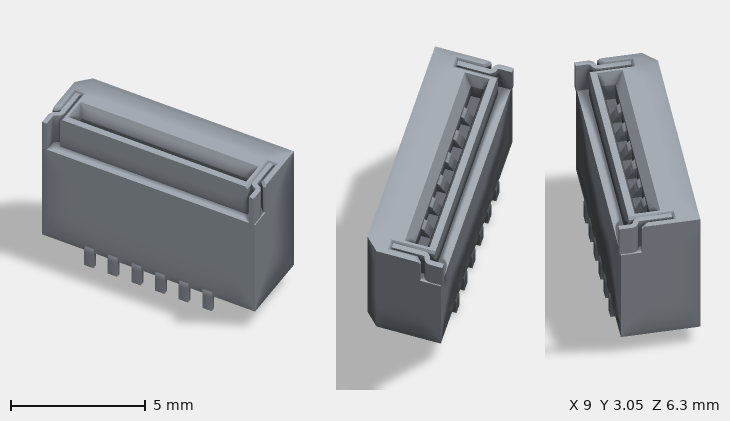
import cadquery as cq
import math


housing_length = 9.0
housing_depth = 3.0
housing_height = 5.6
key_chamfer = 0.5
half_length = housing_length / 2
overlap = 0.18

ledge_drop = 1.33
ledge_depth = 0.4
ledge_z = housing_height - ledge_drop

mouth_half_length = 3.76
mouth_back_y = 1.62
mouth_front_y = 0.66
end_taper = 0.22
back_taper = 0.31
funnel_depth = 0.5
front_slope_depth = 0.97
front_slope_run = 0.24
pocket_depth = 1.24
throat_half_length = mouth_half_length - end_taper
throat_back_y = mouth_back_y - back_taper
throat_front_y = mouth_front_y + front_slope_run
pocket_floor_z = housing_height - pocket_depth
funnel_z = housing_height - funnel_depth

position_count = 6
pitch = 1.0
lead_width = 0.4
lead_thickness = 0.2
lead_length = 0.7
lead_proud = 0.05
lead_bend_height = 0.2
contact_width = 0.42
contact_drop = 0.675
contact_shoulder = 0.08
contact_shoulder_drop = 0.05
contact_round = 0.07
contact_reach = 0.38

sheet = 0.2
lug_inset = 0.03
leg_inset = 0.32
clip_back_y = 2.0
clip_front_y = -lead_proud
lug_bend_end_y = 0.41
bend_inner_radius = 0.1
bend_outer_radius = bend_inner_radius + sheet
clip_height = 1.305
anchor_length = 0.45

slot_clearance = 0.02
slot_chamfer = 0.1
slot_side_opening_y = 0.8
slot_corner_inset = 0.1


def block(x_range, y_range, z_range):
    """Box between the given limits."""
    size = [high - low for low, high in (x_range, y_range, z_range)]
    corner = (x_range[0], y_range[0], z_range[0])
    return cq.Workplane("XY").box(*size, centered=False).translate(corner)


def make_housing():
    body = block((-half_length, half_length), (0, housing_depth), (0, housing_height))
    body = body.edges("|Z and <X and >Y").chamfer(key_chamfer)
    ledge = block(
        (-half_length - overlap, half_length + overlap),
        (-overlap, ledge_depth),
        (ledge_z, housing_height + overlap),
    )
    return body.cut(ledge)


def make_pocket():
    """Straight throat below a mouth tapered at the back and ends and sloped at the front."""
    throat = block(
        (-throat_half_length, throat_half_length),
        (throat_front_y, throat_back_y),
        (pocket_floor_z, housing_height),
    )

    def rectangle(half_width, front_y, back_y, z):
        left, right = -half_width, half_width
        corners = [(left, front_y), (right, front_y), (right, back_y), (left, back_y)]
        return cq.Wire.makePolygon([cq.Vector(x, y, z) for x, y in corners], close=True)

    front_at_funnel = mouth_front_y + front_slope_run * funnel_depth / front_slope_depth
    slope_z = housing_height - front_slope_depth
    mouth_edge = rectangle(mouth_half_length, mouth_front_y, mouth_back_y, housing_height)
    funnel_edge = rectangle(throat_half_length, front_at_funnel, throat_back_y, funnel_z)
    slope_edge = rectangle(throat_half_length, throat_front_y, throat_back_y, slope_z)
    funnel = cq.Workplane(cq.Solid.makeLoft([mouth_edge, funnel_edge], True))
    slope = cq.Workplane(cq.Solid.makeLoft([funnel_edge, slope_edge], True))
    return throat.union(slope).union(funnel)


def make_contact(x):
    """Rounded contact leaning from the pocket back wall down to its floor."""
    top_z = housing_height - contact_drop
    shoulder_y = throat_back_y - contact_shoulder
    shoulder_z = top_z - contact_shoulder_drop
    return (
        cq.Workplane("YZ", origin=(x - contact_width / 2, 0, 0))
        .moveTo(throat_back_y, pocket_floor_z)
        .lineTo(throat_back_y, top_z)
        .lineTo(shoulder_y, shoulder_z)
        .tangentArcPoint((-contact_round, -2 * contact_round))
        .lineTo(throat_back_y - contact_reach, pocket_floor_z)
        .close()
        .extrude(contact_width)
    )


def make_lead(x):
    """Flat lead below the housing whose bend curves back into the front face."""
    half_bend = lead_bend_height / 2
    bend_radius = (lead_bend_height**2 + lead_proud**2) / (2 * lead_proud)
    mid_sag = bend_radius - math.sqrt(bend_radius**2 - half_bend**2)
    return (
        cq.Workplane("YZ", origin=(x - lead_width / 2, 0, 0))
        .moveTo(-lead_proud, -lead_length)
        .lineTo(-lead_proud, 0)
        .threePointArc((mid_sag - lead_proud, half_bend), (0, lead_bend_height))
        .lineTo(lead_thickness - lead_proud, lead_bend_height)
        .lineTo(lead_thickness - lead_proud, -lead_length)
        .close()
        .extrude(lead_width)
    )


def make_clip_slot():
    """Slot for the left clip, open to the end face and the ledge, chamfered at the top."""
    outer_x = leg_inset - slot_clearance - half_length
    inner_x = leg_inset + sheet + slot_clearance - half_length
    corner_x = slot_corner_inset - half_length
    outside_x = -half_length - overlap
    outline = [
        (outer_x, clip_back_y + slot_clearance),
        (inner_x, clip_back_y + slot_clearance),
        (inner_x, -overlap),
        (outside_x, -overlap),
        (outside_x, slot_side_opening_y),
        (corner_x, slot_side_opening_y),
        (outer_x, slot_side_opening_y + outer_x - corner_x),
    ]
    walls = cq.Workplane("XY", origin=(0, 0, ledge_z)).polyline(outline).close().extrude(ledge_drop)
    flare_base = cq.Workplane("XY", origin=(0, 0, housing_height - slot_chamfer)).polyline(outline).close()
    flare_top = cq.Workplane("XY", origin=(0, 0, housing_height)).polyline(outline).close()
    flare_top = flare_top.offset2D(slot_chamfer, "intersection")
    flare = cq.Solid.makeLoft([flare_base.val(), flare_top.val()], True)
    return walls.union(cq.Workplane(flare))


def make_clip():
    """Left clip: a leg in the slot, stepped outward by an S-bend to a front lug."""
    lug_x = lug_inset - half_length
    leg_x = leg_inset - half_length
    bend_angle = math.acos(1 - (leg_x - lug_x) / (bend_inner_radius + bend_outer_radius))
    leg_bend_end_y = lug_bend_end_y + (bend_inner_radius + bend_outer_radius) * math.sin(bend_angle)
    lug_center = (lug_x + bend_outer_radius, lug_bend_end_y)
    leg_center = (leg_x - bend_inner_radius, leg_bend_end_y)

    def on_lug_bend(radius, angle):
        return (lug_center[0] - radius * math.cos(angle), lug_center[1] + radius * math.sin(angle))

    def on_leg_bend(radius, angle):
        return (leg_center[0] + radius * math.cos(angle), leg_center[1] - radius * math.sin(angle))

    half_angle = bend_angle / 2
    profile = (
        cq.Workplane("XY", origin=(0, 0, housing_height - clip_height))
        .moveTo(lug_x, clip_front_y)
        .lineTo(lug_x, lug_bend_end_y)
        .threePointArc(on_lug_bend(bend_outer_radius, half_angle), on_lug_bend(bend_outer_radius, bend_angle))
        .threePointArc(on_leg_bend(bend_inner_radius, half_angle), on_leg_bend(bend_inner_radius, 0))
        .lineTo(leg_x, clip_back_y)
        .lineTo(leg_x + sheet, clip_back_y)
        .lineTo(leg_x + sheet, leg_bend_end_y)
        .threePointArc(on_leg_bend(bend_outer_radius, half_angle), on_leg_bend(bend_outer_radius, bend_angle))
        .threePointArc(on_lug_bend(bend_inner_radius, half_angle), on_lug_bend(bend_inner_radius, 0))
        .lineTo(lug_x + sheet, clip_front_y)
        .close()
    )
    anchor = block(
        (leg_x, leg_x + sheet),
        (leg_bend_end_y, clip_back_y),
        (ledge_z - anchor_length, housing_height),
    )
    return profile.extrude(clip_height).union(anchor)


result = make_housing().cut(make_pocket())

for index in range(position_count):
    position_x = (index - (position_count - 1) / 2) * pitch
    result = result.union(make_contact(position_x)).union(make_lead(position_x))

slot = make_clip_slot()
clip = make_clip()
result = result.cut(slot).cut(slot.mirror("YZ"))
result = result.union(clip).union(clip.mirror("YZ"))